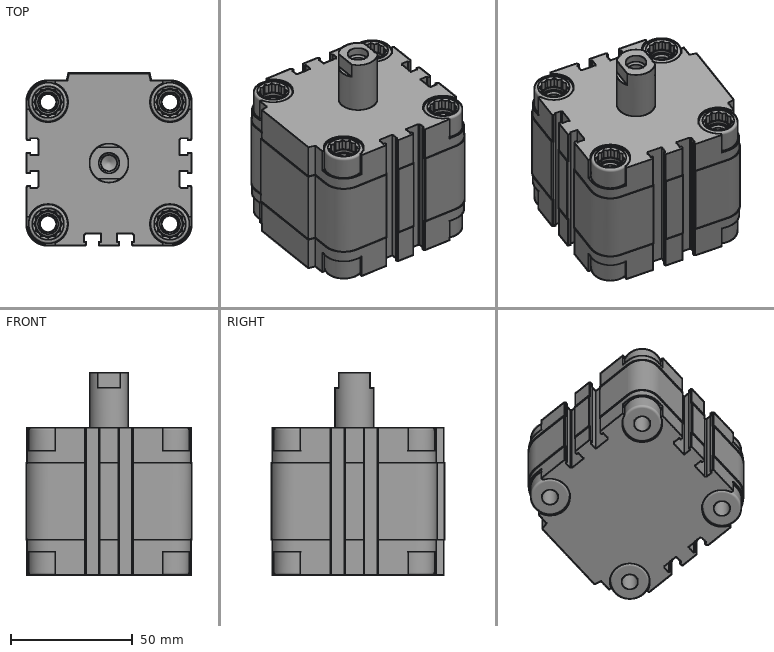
import cadquery as cq
import math

body_half = 34.0
body_height = 60.5
cap_height = 14.5
cap_inset = 0.3
barrel_height = body_height - 2 * cap_height
upper_cap_bottom = body_height - cap_height

pad_rise = 3.0
pad_base_half = 17.4
pad_top_half = 16.7

corner_offset = 25.0
boss_radius = 8.0
boss_gap = 0.22
boss_round = 1.0
notch_start = 22.1
notch_height = 9.6

rim_radius = 6.5
rim_depth = 0.1
cone_radius = 6.2
cone_angle = 25.0
socket_flats = 10.0
socket_depth = 4.6
pilot_diameter = 10.2
pilot_depth = 6.0
screw_entry_diameter = 8.3
screw_hole_diameter = 6.65

groove_offset = 6.75
groove_mouth = 5.25
groove_width = 6.85
groove_depth = 5.0
lip_thickness = 1.7
outer_lip_chamfer = 0.5
inner_lip_chamfer = 0.3
groove_corner = 0.5

rod_diameter = 16.0
rod_top = 83.0
rod_flats = 13.0
rod_flat_length = 6.2
entry_diameter = 8.4
entry_depth = 3.3
thread_diameter = 6.65
thread_depth = 12.0
drill_angle = 30.0

boss_centers = [(sx * corner_offset, sy * corner_offset) for sx in (-1, 1) for sy in (-1, 1)]


def revolve_profile(points):
    """Solid of revolution about Z from (radius, height) points."""
    return cq.Workplane("XZ").polyline(points).close().revolve(360, (0, 0), (0, 1))


def outline_prism(half, height):
    """Rounded square of the given half width, with the pad on its +Y side."""
    inset = body_half - half
    square = (
        cq.Workplane("XY")
        .rect(2 * half, 2 * half)
        .extrude(height)
        .edges("|Z")
        .fillet(half - corner_offset)
    )
    pad = (
        cq.Workplane("XY")
        .polyline(
            [
                (-pad_base_half + inset, 0),
                (-pad_base_half + inset, half),
                (-pad_top_half + inset, half + pad_rise),
                (pad_top_half - inset, half + pad_rise),
                (pad_base_half - inset, half),
                (pad_base_half - inset, 0),
            ]
        )
        .close()
        .extrude(height)
    )
    return square.union(pad)


def groove_cutter(half, height):
    """T-groove along Z in the -Y face at the given half width, on the +X side of the middle."""
    mouth_in = groove_offset - groove_mouth / 2
    mouth_out = groove_offset + groove_mouth / 2
    wall_in = groove_offset - groove_width / 2
    wall_out = groove_offset + groove_width / 2
    face = -half
    lip = -body_half + lip_thickness
    floor = -body_half + groove_depth
    return (
        cq.Workplane("XY")
        .polyline(
            [
                (mouth_in - inner_lip_chamfer, face),
                (mouth_in, face + inner_lip_chamfer),
                (mouth_in, lip),
                (wall_in, lip),
                (wall_in, floor),
                (wall_out - groove_corner, floor),
                (wall_out, floor - groove_corner),
                (wall_out, lip),
                (mouth_out, lip),
                (mouth_out, face + outer_lip_chamfer),
                (mouth_out + outer_lip_chamfer, face),
            ]
        )
        .close()
        .extrude(height)
    )


def grooved_section(half, height):
    """One length of the housing, with a groove pair in its -X, -Y and +X faces."""
    section = outline_prism(half, height)
    groove = groove_cutter(half, height)
    groove_pair = groove.union(groove.mirror("YZ"))
    for angle in (-90, 0, 90):
        section = section.cut(groove_pair.rotate((0, 0, 0), (0, 0, 1), angle))
    return section


def corner_notch():
    """Frees the round boss at a cap corner and rounds its rim; the cap face is at Z = 0."""
    reach = body_half - notch_start
    start = notch_start - corner_offset
    corner = (
        cq.Workplane("XY", origin=(start, start, -notch_height))
        .rect(reach, reach, centered=False)
        .extrude(notch_height)
    )
    ring_gap = (
        cq.Workplane("XY", origin=(0, 0, -notch_height))
        .circle(boss_radius + boss_gap)
        .extrude(notch_height)
    )
    boss = (
        cq.Workplane("XY", origin=(0, 0, -notch_height))
        .circle(boss_radius)
        .extrude(notch_height)
        .faces(">Z")
        .edges()
        .fillet(boss_round)
    )
    return corner.union(ring_gap).cut(boss)


def socket_cutter():
    """Twelve-point socket and through hole; the boss face is at Z = 0."""
    hexagon_half_side_angle = 30
    tip_diameter = socket_flats / math.cos(math.radians(hexagon_half_side_angle))
    hexagon = (
        cq.Workplane("XY", origin=(0, 0, -socket_depth))
        .polygon(6, tip_diameter)
        .extrude(socket_depth)
    )
    star = hexagon.union(hexagon.rotate((0, 0, 0), (0, 0, 1), hexagon_half_side_angle))
    pilot = pilot_diameter / 2
    cone_slope = math.tan(math.radians(cone_angle))
    entry = screw_entry_diameter / 2
    hole = screw_hole_diameter / 2
    bore = revolve_profile(
        [
            (0, 0),
            (rim_radius, 0),
            (cone_radius, -rim_depth),
            (pilot, -rim_depth - (cone_radius - pilot) * cone_slope),
            (pilot, -pilot_depth),
            (entry, -pilot_depth),
            (hole, -pilot_depth - (entry - hole)),
            (hole, -body_height),
            (0, -body_height),
        ]
    )
    return bore.union(star)


def build_housing():
    """Grooved barrel between two slightly smaller caps, with corner bosses and a blind rod seat."""
    cap = grooved_section(body_half - cap_inset, cap_height)
    barrel = grooved_section(body_half, barrel_height)
    housing = (
        cap.union(barrel.translate((0, 0, cap_height)))
        .union(cap.translate((0, 0, upper_cap_bottom)))
    )
    notch = corner_notch()
    socket = socket_cutter()
    for x, y in boss_centers:
        turn = math.degrees(math.atan2(y, x)) - 45
        top_notch = notch.rotate((0, 0, 0), (0, 0, 1), turn).translate((x, y, body_height))
        housing = housing.cut(top_notch)
        housing = housing.cut(top_notch.mirror("XY", (0, 0, body_height / 2)))
        housing = housing.cut(socket.translate((x, y, body_height)))
    rod_seat = (
        cq.Workplane("XY", origin=(0, 0, upper_cap_bottom))
        .circle(rod_diameter / 2)
        .extrude(cap_height)
    )
    return housing.cut(rod_seat)


def build_rod():
    """Rod seated in the upper cap, with two wrench flats and a drilled end hole."""
    rod = (
        cq.Workplane("XY", origin=(0, 0, upper_cap_bottom))
        .circle(rod_diameter / 2)
        .extrude(rod_top - upper_cap_bottom)
    )
    for side in (-1, 1):
        flat = cq.Workplane("XY").box(rod_diameter, rod_diameter, rod_flat_length)
        rod = rod.cut(
            flat.translate((0, side * (rod_flats + rod_diameter) / 2, rod_top - rod_flat_length / 2))
        )
    entry = entry_diameter / 2
    thread = thread_diameter / 2
    drill_tip = thread * math.tan(math.radians(drill_angle))
    bore = revolve_profile(
        [
            (0, 0),
            (entry, 0),
            (entry, -entry_depth),
            (thread, -entry_depth - (entry - thread)),
            (thread, -thread_depth),
            (0, -thread_depth - drill_tip),
        ]
    )
    return rod.cut(bore.translate((0, 0, rod_top)))


housing = build_housing()
rod = build_rod()

result = cq.Compound.makeCompound([housing.solids().val(), rod.solids().val()])